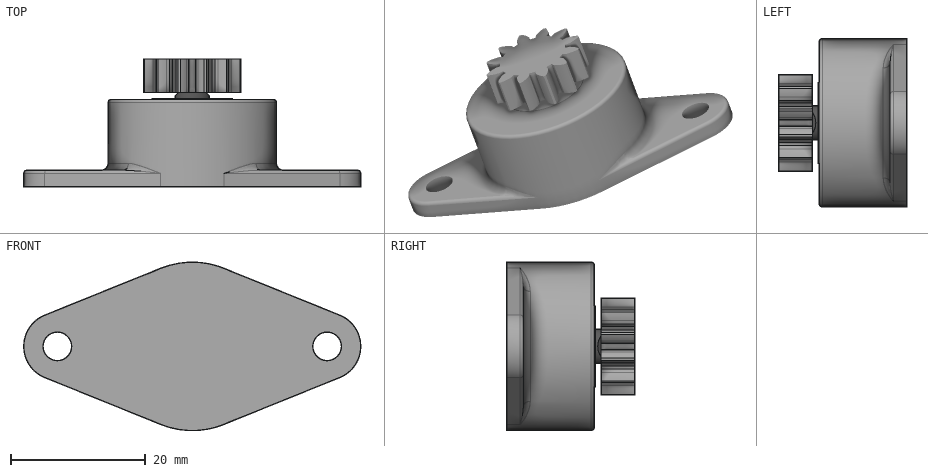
import cadquery as cq
import math

body_radius = 12.5
ear_radius = 5.0
hole_offset = 20.0
hole_diameter = 4.2
plate_thickness = 2.5
plate_edge_round = 0.5

body_height = 13.0
body_top_round = 0.5
body_base_fillet = 1.0
boss_radius = 6.0
boss_height = 0.15

shaft_radius = 2.55
flat_distance = 2.05

gear_clearance = 1.0
gear_width = 5.0
gear_start = body_height + gear_clearance
gear_end = gear_start + gear_width
tooth_count = 12
tip_radius = 7.4
tip_half_angle = 1.4
flank_radius = 6.3
flank_half_angle = 7.4
flank_bulge = 0.06
base_radius = 5.8
base_half_angle = 9.8
root_radius = 5.1


def disc(radius, start, end):
    """Cylinder about the Y axis between two heights."""
    return cq.Workplane("XZ", origin=(0, start, 0)).circle(radius).extrude(start - end)


def polar(radius, degrees):
    """Point at a radius and an angle from +X."""
    angle = math.radians(degrees)
    return (radius * math.cos(angle), radius * math.sin(angle))


def make_plate():
    """Two ear arcs and two body arcs joined by their common tangent lines."""
    normal_x = (body_radius - ear_radius) / hole_offset
    normal_z = math.sqrt(1 - normal_x**2)
    body_x = body_radius * normal_x
    body_z = body_radius * normal_z
    ear_x = hole_offset + ear_radius * normal_x
    ear_z = ear_radius * normal_z
    ear_end = hole_offset + ear_radius
    plate = (
        cq.Workplane("XZ")
        .moveTo(body_x, body_z)
        .lineTo(ear_x, ear_z)
        .threePointArc((ear_end, 0), (ear_x, -ear_z))
        .lineTo(body_x, -body_z)
        .threePointArc((0, -body_radius), (-body_x, -body_z))
        .lineTo(-ear_x, -ear_z)
        .threePointArc((-ear_end, 0), (-ear_x, ear_z))
        .lineTo(-body_x, body_z)
        .threePointArc((0, body_radius), (body_x, body_z))
        .close()
        .extrude(-plate_thickness)
    )
    return plate.faces(">Y").edges().fillet(plate_edge_round)


def make_housing():
    """Flange and round body, blended where the body rises from the ears."""
    body = disc(body_radius, 0, body_height).faces(">Y").edges().fillet(body_top_round)
    housing = make_plate().union(body)
    margin = 0.05
    reach = body_radius + margin
    blend_zone = cq.selectors.BoxSelector(
        (-reach, plate_thickness - margin, -reach),
        (reach, plate_thickness + margin, reach),
    )
    housing = housing.edges(blend_zone).fillet(body_base_fillet)
    holes = (
        cq.Workplane("XZ")
        .pushPoints([(-hole_offset, 0), (hole_offset, 0)])
        .circle(hole_diameter / 2)
        .extrude(-plate_thickness)
    )
    return housing.cut(holes)


def make_shaft():
    """Shaft whose flats run out at 45 degrees just short of the pinion."""
    shaft = disc(shaft_radius, body_height, gear_start)
    runout = shaft_radius - flat_distance
    for side in (-1, 1):
        flat_cut = (
            cq.Workplane("XY")
            .moveTo(side * shaft_radius, gear_start - runout)
            .lineTo(side * flat_distance, gear_start)
            .lineTo(side * shaft_radius, gear_start)
            .close()
            .extrude(shaft_radius, both=True)
        )
        shaft = shaft.cut(flat_cut)
    return shaft


def make_pinion():
    """Spur pinion with a tooth gap centred on each main axis."""
    pitch_angle = 360 / tooth_count
    pinion = cq.Workplane("XZ", origin=(0, gear_start, 0)).moveTo(
        *polar(tip_radius, pitch_angle / 2 - tip_half_angle)
    )
    for tooth in range(tooth_count):
        centre = (tooth + 0.5) * pitch_angle
        pinion = (
            pinion.threePointArc(polar(tip_radius, centre), polar(tip_radius, centre + tip_half_angle))
            .sagittaArc(polar(flank_radius, centre + flank_half_angle), -flank_bulge)
            .lineTo(*polar(base_radius, centre + base_half_angle))
            .lineTo(*polar(root_radius, centre + base_half_angle))
            .threePointArc(
                polar(root_radius, centre + pitch_angle / 2),
                polar(root_radius, centre + pitch_angle - base_half_angle),
            )
            .lineTo(*polar(base_radius, centre + pitch_angle - base_half_angle))
            .lineTo(*polar(flank_radius, centre + pitch_angle - flank_half_angle))
            .sagittaArc(polar(tip_radius, centre + pitch_angle - tip_half_angle), -flank_bulge)
        )
    return pinion.close().extrude(gear_start - gear_end)


boss = disc(boss_radius, body_height, body_height + boss_height)
result = make_housing().union(boss).union(make_shaft()).union(make_pinion())